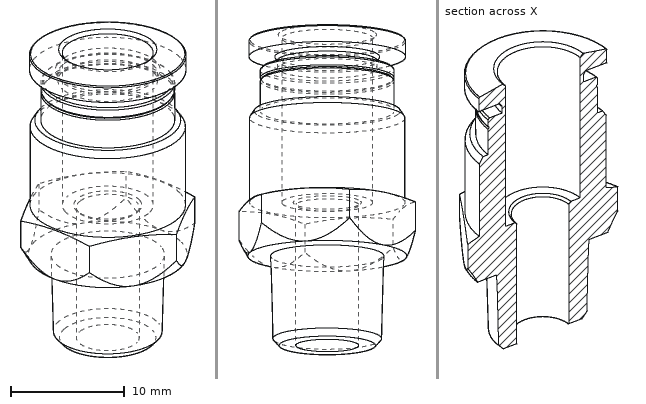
import cadquery as cq
import math

total_height = 27.9
hex_across_flats = 14.0
hex_bottom = 8.04
hex_top = 12.83
hex_lower_chamfer_angle = 60.0
hex_upper_chamfer_angle = 17.0

stem_top_radius = 5.0
stem_end_radius = 4.8
stem_tip_radius = 4.25
stem_chamfer_height = 0.6

body_radius = 13.7 / 2
shoulder_top = 21.06
shoulder_chamfer_height = 0.6
shoulder_chamfer_width = 0.42

collar_radius = 11.8 / 2
collar_top = 24.9
collar_chamfer = 0.17
groove_center = 23.88
groove_half_width = 0.15
groove_depth = 0.1

neck_radius = 8.8 / 2
neck_flare_height = 0.35
neck_flare_width = 0.22
button_radius = 13.8 / 2
button_bottom = 25.92
button_cone_height = 0.45
button_edge_chamfer = 0.1

socket_radius = 8.0 / 2
mouth_radius = 8.65 / 2
socket_floor = 12.83
passage_radius = 5.55 / 2
passage_entry_radius = 6.0 / 2


def revolve_profile(points):
    """Revolve a closed outline of (radius, height) points about Z."""
    return cq.Workplane("XZ").polyline(points).close().revolve(360, (0, 0), (0, 1))


def make_stem():
    return revolve_profile([
        (0, 0),
        (stem_tip_radius, 0),
        (stem_end_radius, stem_chamfer_height),
        (stem_top_radius, hex_bottom),
        (0, hex_bottom),
    ])


def make_hexagon():
    """Hexagon with flats facing +/-X, turned conical at both ends."""
    flat_radius = hex_across_flats / 2
    corner_radius = flat_radius / math.cos(math.radians(30))
    corner_overhang = corner_radius - flat_radius
    lower_rise = corner_overhang * math.tan(math.radians(hex_lower_chamfer_angle))
    upper_drop = (corner_radius - body_radius) * math.tan(math.radians(hex_upper_chamfer_angle))
    prism = (
        cq.Workplane("XY", origin=(0, 0, hex_bottom))
        .transformed(rotate=(0, 0, 30))
        .polygon(6, 2 * corner_radius)
        .extrude(hex_top - hex_bottom)
    )
    turned_envelope = revolve_profile([
        (0, hex_bottom),
        (flat_radius, hex_bottom),
        (corner_radius, hex_bottom + lower_rise),
        (corner_radius, hex_top - upper_drop),
        (body_radius, hex_top),
        (0, hex_top),
    ])
    return prism.intersect(turned_envelope)


def make_upper_body():
    """Body, grooved collar, neck and release button as one turned shape."""
    button_cone_bottom = total_height - button_cone_height
    return revolve_profile([
        (0, hex_bottom),
        (body_radius, hex_bottom),
        (body_radius, shoulder_top - shoulder_chamfer_height),
        (body_radius - shoulder_chamfer_width, shoulder_top),
        (collar_radius, shoulder_top),
        (collar_radius, groove_center - groove_half_width),
        (collar_radius - groove_depth, groove_center),
        (collar_radius, groove_center + groove_half_width),
        (collar_radius, collar_top - collar_chamfer),
        (collar_radius - collar_chamfer, collar_top),
        (neck_radius, collar_top),
        (neck_radius, button_bottom - neck_flare_height),
        (neck_radius + neck_flare_width, button_bottom),
        (button_radius, button_bottom),
        (button_radius, button_cone_bottom - button_edge_chamfer),
        (button_radius - button_edge_chamfer, button_cone_bottom),
        (mouth_radius, total_height),
        (0, total_height),
    ])


def make_bore():
    """Tube socket with a chamfered mouth, leading into the through passage."""
    mouth_depth = mouth_radius - socket_radius
    entry_depth = passage_entry_radius - passage_radius
    return revolve_profile([
        (0, 0),
        (passage_radius, 0),
        (passage_radius, socket_floor - entry_depth),
        (passage_entry_radius, socket_floor),
        (socket_radius, socket_floor),
        (socket_radius, total_height - mouth_depth),
        (mouth_radius, total_height),
        (0, total_height),
    ])


result = make_stem().union(make_hexagon()).union(make_upper_body()).cut(make_bore())